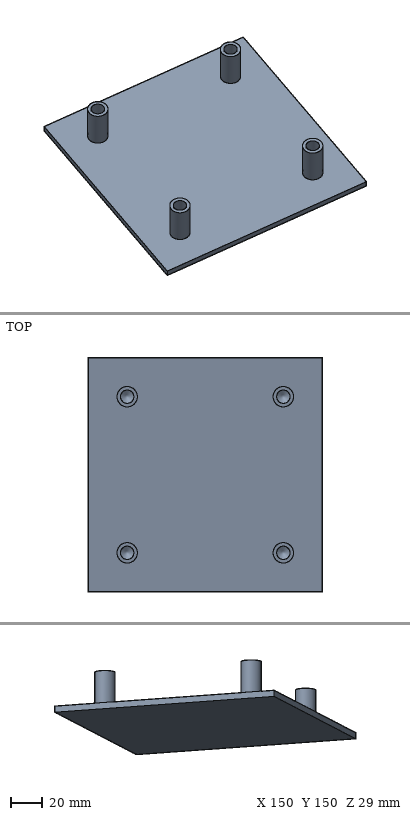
import cadquery as cq
import math

PLATE_SIDE = 150.0
PLATE_THICKNESS = 4.0

OVERALL_HEIGHT = 29.0
POST_HEIGHT = OVERALL_HEIGHT - PLATE_THICKNESS
POST_DIAMETER = 13.0
POST_INSET = PLATE_SIDE / 6
POST_OFFSET = PLATE_SIDE / 2 - POST_INSET
POST_POSITIONS = [
    (x_side * POST_OFFSET, y_side * POST_OFFSET)
    for x_side in (-1, 1)
    for y_side in (-1, 1)
]

BORE_DIAMETER = 8.5
DRILL_POINT_ANGLE = 118.0
DRILL_POINT_LENGTH = BORE_DIAMETER / 2 / math.tan(math.radians(DRILL_POINT_ANGLE / 2))


def make_drill_point(x, y):
    """Cone pointing down from the top face of the plate at (x, y)."""
    return cq.Solid.makeCone(
        BORE_DIAMETER / 2,
        0,
        DRILL_POINT_LENGTH,
        pnt=cq.Vector(x, y, PLATE_THICKNESS),
        dir=cq.Vector(0, 0, -1),
    )


def make_plate():
    """Square plate with a conical recess under each post."""
    plate = cq.Workplane("XY").box(
        PLATE_SIDE, PLATE_SIDE, PLATE_THICKNESS, centered=(True, True, False)
    )
    for x, y in POST_POSITIONS:
        plate = plate.cut(cq.Workplane(obj=make_drill_point(x, y)))
    return plate


def make_post(x, y):
    """Round tube standing on the plate at (x, y)."""
    return (
        cq.Workplane("XY", origin=(x, y, PLATE_THICKNESS))
        .circle(POST_DIAMETER / 2)
        .circle(BORE_DIAMETER / 2)
        .extrude(POST_HEIGHT)
    )


plate = make_plate()
posts = [make_post(x, y) for x, y in POST_POSITIONS]

result = cq.Compound.makeCompound([plate.solids().val(), *[post.val() for post in posts]])